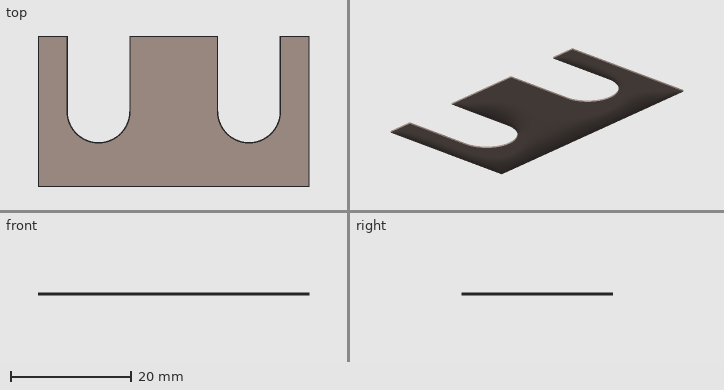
import cadquery as cq

length = 45.0
width = 25.0
thickness = 0.25

slot_width = 10.4
slot_spacing = 25.0
slot_radius = slot_width / 2
slot_depth = width / 2


def slot_cutter(center_x):
    """Straight-sided slot from the +Y edge with a semicircular inner end."""
    open_y = width / 2
    arc_y = open_y - slot_depth
    return (
        cq.Workplane("XY")
        .moveTo(center_x - slot_radius, open_y)
        .lineTo(center_x - slot_radius, arc_y)
        .threePointArc((center_x, arc_y - slot_radius), (center_x + slot_radius, arc_y))
        .lineTo(center_x + slot_radius, open_y)
        .close()
        .extrude(thickness)
    )


result = cq.Workplane("XY").box(length, width, thickness, centered=(True, True, False))
for side in (-1, 1):
    result = result.cut(slot_cutter(side * slot_spacing / 2))